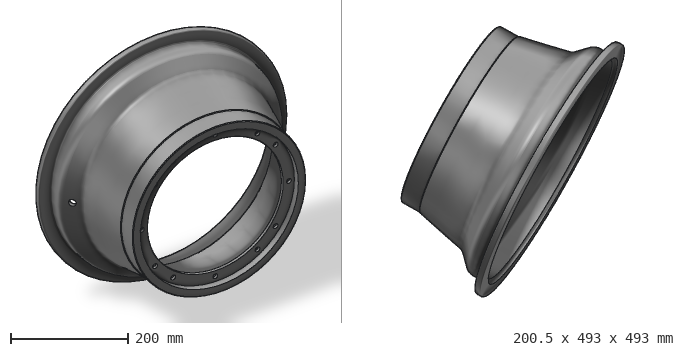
import cadquery as cq
import math

outer_radius = 246.5
rim_length = 200.5
flange_thickness = 13.0
flange_edge_round = 2.5
flange_root_round = 3.5
mouth_round = 7.0

wall = 8.5
seat_radius = 222.0
seat_end = 32.0
steep_angle = math.radians(45)
shallow_angle = math.radians(12.3)
shoulder_bend = 18.5
steep_run = 19.0
waist_bend = 17.5

inner_steep_run = 24.0
inner_waist_bend = 9.5
inner_shallow_angle = math.radians(13.3)

cone_end = 162.0
ring_start = 163.5
ring_radius = 172.0
ring_bore = 156.5
ring_chamfer = 1.5
disc_front = 181.5
disc_thickness = 6.0
disc_bead = 3.0
disc_bore = 134.5

bolt_circle_radius = 146.0
bolt_hole_diameter = 9.5
bolt_angles = (0, 35, 55, 90, 125, 145, 180, 215, 235, 270, 305, 325)

valve_diameter = 13.5
valve_x = 56.0


def on_bend(center, radius, angle):
    """Point on a bend where the wall falls at the given angle."""
    return (center[0] + radius * math.sin(angle), center[1] + radius * math.cos(angle))


shoulder_center = (seat_end, seat_radius - shoulder_bend)
steep_start = on_bend(shoulder_center, shoulder_bend, steep_angle)
steep_end = (steep_start[0] + steep_run, steep_start[1] - steep_run * math.tan(steep_angle))
waist_center = on_bend(steep_end, waist_bend, steep_angle)
shoulder_mid = steep_angle / 2
waist_mid = (steep_angle + shallow_angle) / 2

shoulder_inside = shoulder_bend - wall
inner_steep_start = on_bend(shoulder_center, shoulder_inside, steep_angle)
inner_steep_end = (
    inner_steep_start[0] + inner_steep_run,
    inner_steep_start[1] - inner_steep_run * math.tan(steep_angle),
)
inner_waist_center = on_bend(inner_steep_end, inner_waist_bend, steep_angle)
inner_waist_mid = (steep_angle + inner_shallow_angle) / 2


def cone_point(start, x, angle):
    """Point at position x on the cone that falls from start at the given angle."""
    return (x, start[1] - (x - start[0]) * math.tan(angle))


def make_rim():
    shallow_out = on_bend(waist_center, -waist_bend, shallow_angle)
    shallow_in = on_bend(inner_waist_center, -inner_waist_bend, inner_shallow_angle)
    disc_back = disc_front + disc_thickness
    seat_inside = seat_radius - wall
    profile = (
        cq.Workplane("XY")
        .moveTo(0, seat_inside + mouth_round)
        .lineTo(0, outer_radius - flange_edge_round)
        .radiusArc((flange_edge_round, outer_radius), flange_edge_round)
        .lineTo(flange_thickness - flange_edge_round, outer_radius)
        .radiusArc((flange_thickness, outer_radius - flange_edge_round), flange_edge_round)
        .lineTo(flange_thickness, seat_radius + flange_root_round)
        .radiusArc((flange_thickness + flange_root_round, seat_radius), -flange_root_round)
        .lineTo(seat_end, seat_radius)
        .threePointArc(on_bend(shoulder_center, shoulder_bend, shoulder_mid), steep_start)
        .lineTo(*steep_end)
        .threePointArc(on_bend(waist_center, -waist_bend, waist_mid), shallow_out)
        .lineTo(*cone_point(shallow_out, cone_end, shallow_angle))
        .lineTo(ring_start, ring_radius)
        .lineTo(rim_length - ring_chamfer, ring_radius)
        .lineTo(rim_length, ring_radius - ring_chamfer)
        .lineTo(rim_length, ring_bore)
        .lineTo(disc_back, ring_bore)
        .lineTo(disc_back, disc_bore)
        .lineTo(disc_front, disc_bore)
        .lineTo(disc_front, ring_bore)
        .lineTo(*cone_point(shallow_in, disc_front - disc_bead, inner_shallow_angle))
        .lineTo(*shallow_in)
        .threePointArc(
            on_bend(inner_waist_center, -inner_waist_bend, inner_waist_mid), inner_steep_end
        )
        .lineTo(*inner_steep_start)
        .threePointArc(
            on_bend(shoulder_center, shoulder_inside, shoulder_mid), (seat_end, seat_inside)
        )
        .lineTo(mouth_round, seat_inside)
        .radiusArc((0, seat_inside + mouth_round), -mouth_round)
        .close()
    )
    return profile.revolve(360, (0, 0, 0), (1, 0, 0))


def make_bolt_holes():
    points = [
        (
            bolt_circle_radius * math.cos(math.radians(angle)),
            bolt_circle_radius * math.sin(math.radians(angle)),
        )
        for angle in bolt_angles
    ]
    return (
        cq.Workplane("YZ", origin=(disc_front, 0, 0))
        .pushPoints(points)
        .circle(bolt_hole_diameter / 2)
        .extrude(disc_thickness)
    )


def make_valve_hole():
    """Hole through the steep cone on the -Y side, square to its wall."""
    valve_radius = steep_start[1] - (valve_x - steep_start[0]) * math.tan(steep_angle)
    outward = cq.Vector(math.sin(steep_angle), -math.cos(steep_angle), 0)
    start = cq.Vector(valve_x, -valve_radius, 0) - outward * (2 * wall)
    return cq.Workplane(cq.Solid.makeCylinder(valve_diameter / 2, 4 * wall, start, outward))


result = make_rim().cut(make_bolt_holes()).cut(make_valve_hole())